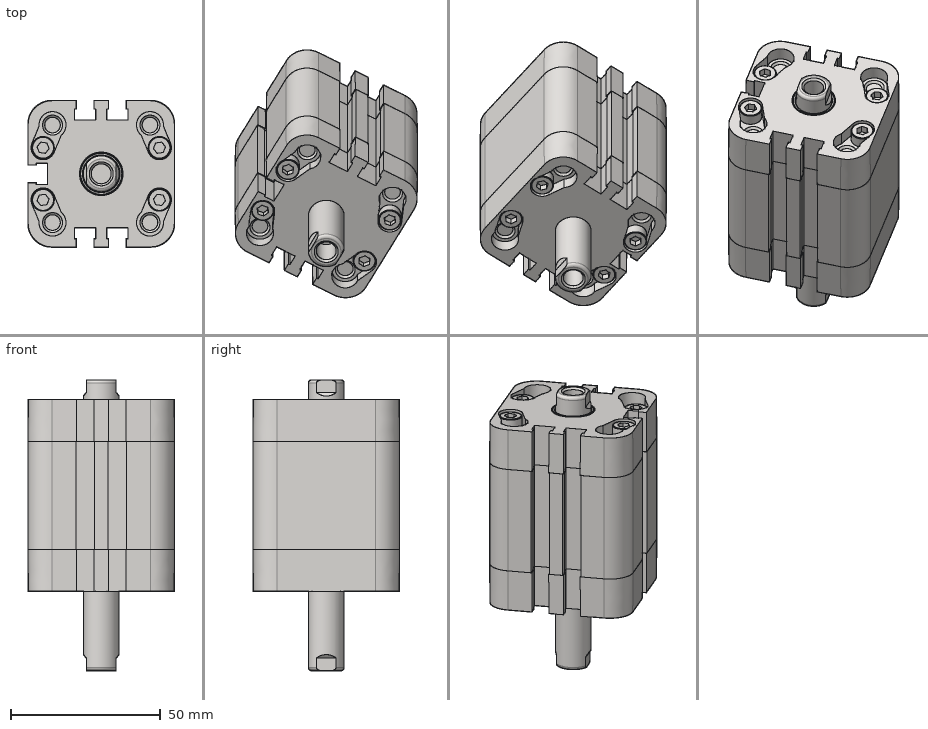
import cadquery as cq
import math


side = 49.0
half_side = side / 2
corner_radius = 8.0
cap_length = 14.0
cap_draft_angle = 0.55
barrel_length = 36.0
body_length = barrel_length + 2 * cap_length

slot_offset = 5.4
slot_depth = 6.5
slot_width = 7.0
cap_throat_width = 5.8
cap_lip = 2.9
barrel_throat_width = 6.2
barrel_lip = 2.6

mount_offset = 16.25
mount_core_diameter = 5.2
mount_mouth_diameter = 6.65
screw_x = 19.4
screw_y = 8.7
pocket_depth = 4.7
pocket_diameter = 9.0
channel_width = 8.0
head_diameter = 7.5
head_chamfer = 0.25
head_height = 4.0
socket_across_flats = 3.5
socket_depth = 2.5
socket_turn = 8.0

rod_diameter = 12.0
rod_radius = rod_diameter / 2
rod_top_overhang = 6.5
rod_bottom_overhang = 26.5
rod_length = rod_bottom_overhang + body_length + rod_top_overhang
rod_end_fillet = 1.1
rod_across_flats = 10.0
flat_length = 4.2
flat_runout = 1.2
rod_thread_core = 6.65
rod_thread_mouth = 8.0
rod_thread_depth = 12.0

wiper_diameter = 14.0
wiper_rim_diameter = 13.7
wiper_lip_diameter = 12.54
wiper_depth = 2.0
wiper_mouth_chamfer = 0.25
wiper_rim_bevel = 0.15
wiper_lip_drop = 0.3


def t_slot(throat_width, lip, length):
    """T-slot cutter that opens through the -Y side, centred on X = 0."""
    half_throat = throat_width / 2
    half_slot = slot_width / 2
    return (
        cq.Workplane("XY")
        .moveTo(-half_throat, -half_side)
        .lineTo(-half_throat, lip - half_side)
        .lineTo(-half_slot, lip - half_side)
        .lineTo(-half_slot, slot_depth - half_side)
        .lineTo(half_slot, slot_depth - half_side)
        .lineTo(half_slot, lip - half_side)
        .lineTo(half_throat, lip - half_side)
        .lineTo(half_throat, -half_side)
        .close()
        .extrude(length)
    )


def slotted_block(throat_width, lip, length, draft=0.0):
    """Rounded square block with the T-slots and the rod bore; its sides may lean in upwards."""
    outline = cq.Sketch().rect(side, side).vertices().fillet(corner_radius)
    block = cq.Workplane("XY").placeSketch(outline).extrude(length, taper=draft)
    slot = t_slot(throat_width, lip, length)
    for x in (-slot_offset, slot_offset):
        front_slot = slot.translate((x, 0, 0))
        block = block.cut(front_slot).cut(front_slot.mirror("XZ"))
    block = block.cut(slot.rotate((0, 0, 0), (0, 0, 1), -90))
    return block.cut(cq.Workplane("XY").circle(rod_radius).extrude(length))


def pocket():
    """Round pocket over the mounting hole, joined to the screw by a straight channel."""
    floor = cq.Workplane("XY", origin=(0, 0, cap_length - pocket_depth))
    mount_end = floor.center(mount_offset, mount_offset).circle(pocket_diameter / 2).extrude(pocket_depth)
    run_x = mount_offset - screw_x
    run_y = mount_offset - screw_y
    channel_length = math.hypot(run_x, run_y) + channel_width
    channel_angle = math.degrees(math.atan2(run_y, run_x))
    channel = (
        floor.center(screw_x + run_x / 2, screw_y + run_y / 2)
        .slot2D(channel_length, channel_width, channel_angle)
        .extrude(pocket_depth)
    )
    return mount_end.union(channel)


def mount_recess():
    """Shallow conical recess in the pocket floor."""
    core = mount_core_diameter / 2
    mouth = mount_mouth_diameter / 2
    return (
        cq.Workplane("XY", origin=(mount_offset, mount_offset, cap_length - pocket_depth))
        .circle(mouth)
        .extrude(core - mouth, taper=45)
    )


def threaded_hole(core_diameter, mouth_diameter, depth):
    """Blind hole cutter with its chamfered mouth at Z = 0, going down."""
    core = core_diameter / 2
    mouth = mouth_diameter / 2
    return (
        cq.Workplane("XZ")
        .polyline([(0, 0), (mouth, 0), (core, core - mouth), (core, -depth), (0, -depth)])
        .close()
        .revolve(360, (0, 0, 0), (0, 1, 0))
    )


def screw_head():
    """Socket screw head that stands on the pocket floor."""
    socket_diameter = socket_across_flats / math.cos(math.pi / 6)
    return (
        cq.Workplane("XY", origin=(screw_x, screw_y, cap_length - pocket_depth))
        .circle(head_diameter / 2)
        .extrude(head_height)
        .faces(">Z")
        .chamfer(head_chamfer)
        .faces(">Z")
        .workplane()
        .transformed(rotate=(0, 0, socket_turn))
        .polygon(6, socket_diameter)
        .cutBlind(-socket_depth)
    )


def end_cap():
    """Cap with its joint face on Z = 0 and its four screws in place."""
    cap = slotted_block(cap_throat_width, cap_lip, cap_length, cap_draft_angle)
    cutter = pocket().union(mount_recess())
    head = screw_head()
    for planes in ([], ["YZ"], ["XZ"], ["YZ", "XZ"]):
        corner_cutter = cutter
        corner_head = head
        for plane in planes:
            corner_cutter = corner_cutter.mirror(plane)
            corner_head = corner_head.mirror(plane)
        cap = cap.cut(corner_cutter).union(corner_head)
    return cap


def rod_flats():
    """Cutter for the two flats at the top end of the rod, with the end face on Z = 0."""
    flat = rod_across_flats / 2
    one_side = (
        cq.Workplane("XZ")
        .polyline([(flat, 0), (rod_radius, 0), (rod_radius, -flat_length - flat_runout), (flat, -flat_length)])
        .close()
        .extrude(rod_radius, both=True)
    )
    return one_side.union(one_side.mirror("YZ"))


def piston_rod():
    """Through rod with flats and a threaded hole at both ends."""
    rod = cq.Workplane("XY").circle(rod_radius).extrude(rod_length).edges().fillet(rod_end_fillet)
    end_cutter = rod_flats().union(threaded_hole(rod_thread_core, rod_thread_mouth, rod_thread_depth))
    rod = rod.cut(end_cutter.mirror("XY")).cut(end_cutter.translate((0, 0, rod_length)))
    return rod.translate((0, 0, -rod_bottom_overhang))


def wiper_recess():
    """Cutter for the wiper seat in the upper cap, with a chamfered mouth."""
    seat = cq.Workplane("XY").circle(wiper_diameter / 2).extrude(-wiper_depth)
    mouth = cq.Workplane("XY").circle(wiper_diameter / 2 + wiper_mouth_chamfer)
    return seat.union(mouth.extrude(-wiper_mouth_chamfer, taper=45)).translate((0, 0, body_length))


def wiper_ring():
    """Ring with a flat top, bevelled at its rim and countersunk round the rod."""
    outer = wiper_diameter / 2
    return (
        cq.Workplane("XZ")
        .moveTo(rod_radius, -wiper_depth)
        .lineTo(outer, -wiper_depth)
        .lineTo(outer, -wiper_mouth_chamfer)
        .lineTo(wiper_rim_diameter / 2, wiper_rim_bevel - wiper_mouth_chamfer)
        .lineTo(wiper_lip_diameter / 2, wiper_rim_bevel - wiper_mouth_chamfer)
        .lineTo(rod_radius, -wiper_mouth_chamfer - wiper_lip_drop)
        .close()
        .revolve(360, (0, 0, 0), (0, 1, 0))
        .translate((0, 0, body_length))
    )


barrel = slotted_block(barrel_throat_width, barrel_lip, barrel_length).translate((0, 0, cap_length))
lower_cap = end_cap().mirror("XY").translate((0, 0, cap_length))
upper_cap = end_cap().translate((0, 0, body_length - cap_length)).cut(wiper_recess())
rod = piston_rod()
wiper = wiper_ring()

result = cq.Compound.makeCompound(
    [barrel.val(), lower_cap.val(), upper_cap.val(), rod.val(), wiper.val()]
)